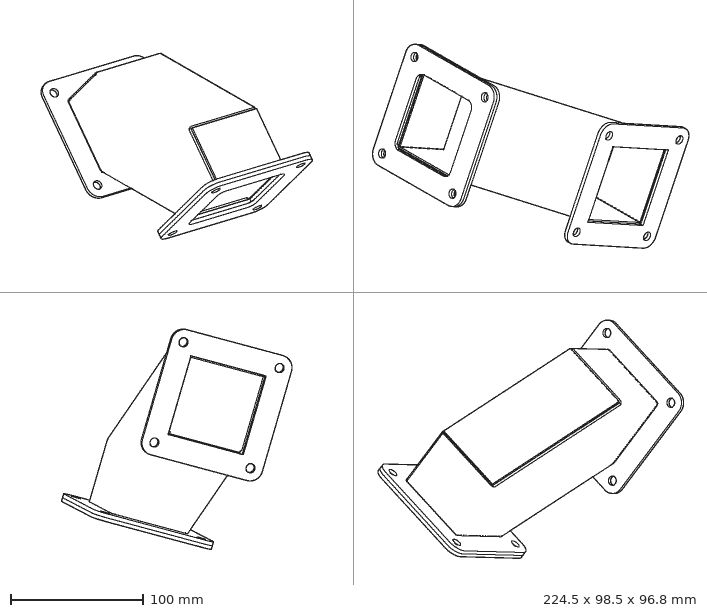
import cadquery as cq
import math

plate_size = 98.5
plate_thickness = 3.0
hole_spacing = 79.0
hole_diameter = 7.0
opening_size = 62.0
gasket_opening_radius = 6.0
corner_radius = (plate_size - hole_spacing) / 2

overall_length = 224.5
overall_height = 96.8
duct_width = 63.5
sheet = 2.0
inner_bend_radius = 1.0
outer_bend_radius = inner_bend_radius + sheet
seam_gap = 0.11
clearance = 2 * sheet

slope = math.sin(math.radians(45))
thickness_step = plate_thickness * slope

seat_x = (overall_length - 3 * thickness_step) / 2 - plate_size / 2 * slope
seat_z = -plate_size / 2 * slope

half_width = duct_width / 2
floor_x = seat_x - half_width * slope
floor_z = seat_z - half_width * slope
foot_x = seat_x + half_width * slope
foot_z = seat_z + half_width * slope
roof_z = overall_height - plate_size * slope - 2 * thickness_step
shoulder_x = foot_x - (roof_z - foot_z)

half_tilt_tangent = math.tan(math.radians(45 / 2))
inner_shoulder_x = shoulder_x - sheet * half_tilt_tangent
inner_roof_z = roof_z - sheet
inner_half_width = half_width - sheet


def folded_prism(inset, bend_radius):
    """Hexagonal prism moved in by the inset, rounded along the bends of the sheet."""
    slant = inset * slope
    half = [
        (floor_x + inset, floor_z + inset),
        (foot_x - slant, foot_z - slant),
        (shoulder_x - inset * half_tilt_tangent, roof_z - inset),
    ]
    mirrored = [(-x, z) for x, z in reversed(half)]
    prism = cq.Workplane("XZ").polyline(half + mirrored).close().extrude(half_width - inset, both=True)

    def is_bend(edge):
        """Floor bends on both sides, the roof only at -Y and the legs only at +Y."""
        middle = edge.Center()
        is_floor = middle.z < floor_z + sheet + seam_gap
        is_roof = middle.z > inner_roof_z - seam_gap
        is_leg = foot_z < middle.z and not is_roof
        return is_floor or (is_roof and middle.y < 0) or (is_leg and middle.y > 0)

    return prism.faces("<Y or >Y").edges().filter(is_bend).fillet(bend_radius)


def roof_seam():
    """Open corner between the roof and the +Y side."""
    return (
        cq.Workplane("XY", origin=(0, inner_half_width - seam_gap, inner_roof_z))
        .box(2 * inner_shoulder_x, clearance, clearance, centered=(True, False, False))
    )


def leg_seam(side):
    """Open corner between one leg and the -Y side, along the leg from shoulder to seat."""
    run = inner_roof_z - (foot_z - sheet * slope)
    reach = clearance * slope
    return (
        cq.Workplane("XZ", origin=(0, seam_gap - inner_half_width, 0))
        .moveTo(side * inner_shoulder_x, inner_roof_z)
        .lineTo(side * (inner_shoulder_x + run), inner_roof_z - run)
        .lineTo(side * (inner_shoulder_x + run + reach), inner_roof_z - run + reach)
        .lineTo(side * (inner_shoulder_x + reach), inner_roof_z + reach)
        .close()
        .extrude(clearance)
    )


def shoulder_seam(side):
    """Open wedge across the duct between the square-cut ends of the roof and one leg."""
    roof_end = side * (inner_shoulder_x - seam_gap)
    return (
        cq.Workplane("XZ")
        .moveTo(roof_end, inner_roof_z)
        .lineTo(side * inner_shoulder_x, inner_roof_z)
        .lineTo(side * (inner_shoulder_x + clearance), inner_roof_z + clearance)
        .lineTo(roof_end, inner_roof_z + clearance)
        .close()
        .extrude(duct_width, both=True)
    )


def floor_end(side):
    """Slanted tip of the flat floor between its bends, removed to leave a square-cut end."""
    flat_width = duct_width - 2 * outer_bend_radius
    return (
        cq.Workplane("XZ")
        .moveTo(side * floor_x, floor_z)
        .lineTo(side * (floor_x + sheet), floor_z + sheet)
        .lineTo(side * floor_x, floor_z + sheet)
        .close()
        .extrude(flat_width / 2, both=True)
    )


def make_duct():
    duct = folded_prism(0, outer_bend_radius).cut(folded_prism(sheet, inner_bend_radius))
    duct = duct.cut(roof_seam())
    for side in (-1, 1):
        duct = duct.cut(leg_seam(side)).cut(shoulder_seam(side)).cut(floor_end(side))
    return duct


def make_plate(side, offset, opening_radius=0):
    """Square plate at the -X (-1) or +X (+1) seat, starting the offset outward from it."""
    seat = cq.Plane(
        origin=(side * (seat_x + offset * slope), 0, seat_z - offset * slope),
        xDir=(0, 1, 0),
        normal=(side, 0, -1),
    )
    along_normal = cq.selectors.ParallelDirSelector(seat.zDir)
    plate = cq.Workplane(seat).rect(plate_size, plate_size).extrude(plate_thickness)
    plate = plate.edges(along_normal).fillet(corner_radius)
    opening = cq.Workplane(seat).rect(opening_size, opening_size).extrude(plate_thickness)
    if opening_radius > 0:
        opening = opening.edges(along_normal).fillet(opening_radius)
    holes = (
        cq.Workplane(seat)
        .rect(hole_spacing, hole_spacing, forConstruction=True)
        .vertices()
        .circle(hole_diameter / 2)
        .extrude(plate_thickness)
    )
    return plate.cut(opening).cut(holes)


duct = make_duct()
flanges = [make_plate(side, 0) for side in (-1, 1)]
gasket = make_plate(1, plate_thickness, gasket_opening_radius)

result = cq.Compound.makeCompound([duct.val(), *[flange.val() for flange in flanges], gasket.val()])